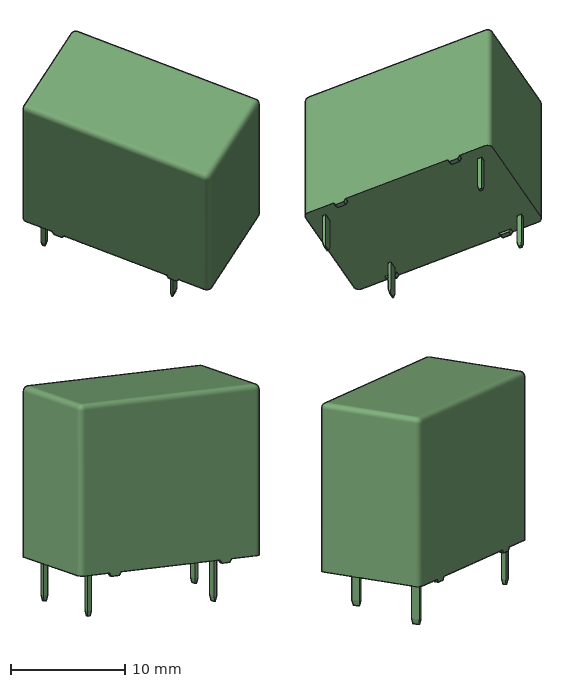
import cadquery as cq

HOUSING_LENGTH = 18.4
HOUSING_WIDTH = 10.21
TOTAL_HEIGHT = 19.2
PIN_LENGTH = 3.9
HOUSING_HEIGHT = TOTAL_HEIGHT - PIN_LENGTH
EDGE_RADIUS = 0.5

FOOT_SPACING = 11.21
FOOT_TOP_LENGTH = 1.2
FOOT_BOTTOM_LENGTH = 0.79
FOOT_HEIGHT = 0.3
FOOT_THICKNESS = 0.4

PIN_ROW_SPACING = 7.6
TIP_LENGTH = 0.5
TIP_INSET = 0.1
COIL_PIN_X = -7.6
COIL_PIN_SIZE = 0.45
BLADE_WIDTH = 0.8
FRONT_BLADE_X = 5.07
FRONT_BLADE_THICKNESS = 0.27
REAR_BLADE_X = 7.6
REAR_BLADE_THICKNESS = 0.33


def make_housing():
    """Box with rounded vertical and top edges and a sharp bottom rim."""
    box = cq.Workplane("XY").box(
        HOUSING_LENGTH, HOUSING_WIDTH, HOUSING_HEIGHT, centered=(True, True, False)
    )
    return box.edges("|Z or >Z").fillet(EDGE_RADIUS)


def make_foot(center_x, side):
    """Trapezoidal foot below the long side at +Y (side = 1) or -Y (side = -1)."""
    half_top = FOOT_TOP_LENGTH / 2
    half_bottom = FOOT_BOTTOM_LENGTH / 2
    outline = [
        (center_x - half_top, 0),
        (center_x + half_top, 0),
        (center_x + half_bottom, -FOOT_HEIGHT),
        (center_x - half_bottom, -FOOT_HEIGHT),
    ]
    outer_face = cq.Workplane("XZ", origin=(0, side * HOUSING_WIDTH / 2, 0))
    return outer_face.polyline(outline).close().extrude(side * FOOT_THICKNESS)


def make_pin(x, y, size_x, size_y):
    """Rectangular pin hanging from the housing floor, with a tapered tip."""
    shank_length = PIN_LENGTH - TIP_LENGTH
    shank = cq.Workplane("XY", origin=(x, y, 0)).rect(size_x, size_y).extrude(-shank_length)
    tip = (
        cq.Workplane("XY", origin=(x, y, -shank_length))
        .rect(size_x, size_y)
        .workplane(offset=-TIP_LENGTH)
        .rect(size_x - 2 * TIP_INSET, size_y - 2 * TIP_INSET)
        .loft(ruled=True)
    )
    return shank.union(tip)


result = make_housing()

for foot_x in (-FOOT_SPACING / 2, FOOT_SPACING / 2):
    for long_side in (-1, 1):
        result = result.union(make_foot(foot_x, long_side))

rear_row = PIN_ROW_SPACING / 2
front_row = -rear_row
for row in (front_row, rear_row):
    result = result.union(make_pin(COIL_PIN_X, row, COIL_PIN_SIZE, COIL_PIN_SIZE))
result = result.union(make_pin(FRONT_BLADE_X, front_row, FRONT_BLADE_THICKNESS, BLADE_WIDTH))
result = result.union(make_pin(REAR_BLADE_X, rear_row, REAR_BLADE_THICKNESS, BLADE_WIDTH))